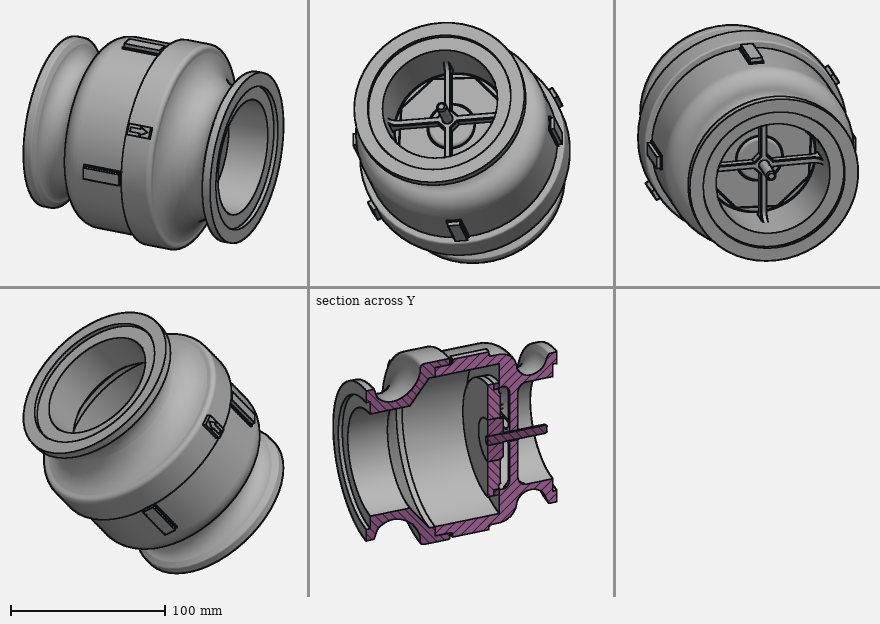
import cadquery as cq
import math

LENGTH = 133.9
MIDDLE = LENGTH / 2

FLANGE_RADIUS = 56.3
FLANGE_RIM = 4.9
FLANGE_ROUNDING_RUN = 1.0
FLANGE_ROUNDING_DROP = 0.5
FACE_RECESS_RADIUS = 47.4
FACE_RECESS_DEPTH = 2.9
BORE_RADIUS = 38.08

TAPER_END_AT = 7.6
TAPER_RADIUS = 52.4
NECK_AT = 18.5
NECK_RADIUS = 43.2
DOME_START_AT = 28.1
DOME_START_RADIUS = 51.6
DOME_END_AT = 41.0
BODY_RADIUS = 63.3
SEAT_AT = 40.5
CHAMBER_RADIUS = 56.0
HOUSING_END_AT = 85.5

COLLAR_AT = 75.1
COLLAR_END_AT = 96.0
COLLAR_RADIUS = 67.9
COLLAR_FRONT_FILLET = 1.2
COLLAR_BACK_FILLET = 3.0
CAP_ARC_START_RADIUS = 62.7
CAP_JOINT_AT = 110.8
CAP_JOINT_RADIUS = 45.1
CAP_SHOULDER_ARC = 21.7
CAP_NECK_ARC = 14.3
CAP_TAPER_END_AT = 125.7
CAP_TAPER_RADIUS = 49.3
CAP_CHAMBER_END_AT = 89.6
CAP_BORE_AT = 103.2

PAD_COUNT = 4
PAD_AT = 47.8
PAD_LENGTH = 25.4
PAD_WIDTH = 8.0
PAD_TOP_RADIUS = 66.7
PAD_SKIRT = 0.8

PLATE_COUNT = 2
PLATE_ANGLE = 30.0
PLATE_AT = 77.4
PLATE_LENGTH = 15.5
PLATE_WIDTH = 7.3
PLATE_TOP_RADIUS = 70.6
ARROW_DEPTH = 0.4
ARROW_LENGTH = 12.2
ARROW_HEAD_LENGTH = 5.4
ARROW_HEAD_WIDTH = 5.7
ARROW_SHAFT_WIDTH = 2.9

LEG_COUNT = 4
LEG_AT = 27.2
LEG_DEPTH = 6.0
LEG_WIDTH = 4.1
LEG_CHAMFER_WIDTH = 1.1
LEG_CHAMFER_DEPTH = 0.5
FOOT_START_RADIUS = 31.9
FOOT_FRONT_AT = 19.4
FOOT_BACK_AT = 36.7
GUIDE_ACROSS_FLATS = 12.1
GUIDE_CHAMFER = 0.5
GUIDE_HOLE_RADIUS = 3.46

DISC_RADIUS = 42.1
SPIGOT_RADIUS = 37.3
SEAL_THICKNESS = 4.1
DISC_PLATE_THICKNESS = 4.1
PLATEAU_SIDES = 8
PLATEAU_TURN = 25.5
PLATEAU_HEIGHT = 1.0
PLATEAU_TAPER = 45.0
DISC_FRONT_AT = SEAT_AT - PLATEAU_HEIGHT
DISC_PLATE_AT = SEAT_AT + SEAL_THICKNESS
DISC_BACK_AT = DISC_PLATE_AT + DISC_PLATE_THICKNESS
HUB_SEAT_RADIUS = 15.5
HUB_MOUTH_CHAMFER = 0.4
HUB_NOSE_RADIUS = 15.1
HUB_NOSE_HEIGHT = 2.2
HUB_ROUNDING = 2.0
STEM_RADIUS = 3.19
STEM_TIP_AT = 6.9
STEM_TIP_CHAMFER = 1.1


def tangent_radius(along, across):
    """Radius of an arc that starts parallel to the axis and covers the given run and rise."""
    return (along ** 2 + across ** 2) / (2 * across)


def revolve(profile):
    """Turn a closed (station, radius) profile around the valve axis."""
    return profile.close().revolve(360, (0, 0, 0), (1, 0, 0)).translate((-MIDDLE, 0, 0))


def cylinder(start_at, length, radius):
    """Solid cylinder on the valve axis."""
    return cq.Workplane("YZ", origin=(start_at - MIDDLE, 0, 0)).circle(radius).extrude(length)


def around(shape, index, count, first_angle=0.0):
    """Turn one copy of a feature to its place around the valve axis."""
    return shape.rotate((0, 0, 0), (1, 0, 0), first_angle + 360 * index / count)


def radial_block(start_at, length, width, inner, outer):
    """Block standing on the +Z side between two distances from the axis."""
    return (
        cq.Workplane("XY", origin=(start_at - MIDDLE + length / 2, 0, inner))
        .rect(length, width)
        .extrude(outer - inner)
    )


def pad():
    inner = CHAMBER_RADIUS + (BODY_RADIUS - CHAMBER_RADIUS) / 2
    block = radial_block(PAD_AT, PAD_LENGTH, PAD_WIDTH, inner, PAD_TOP_RADIUS)
    skirt = radial_block(
        PAD_AT - PAD_SKIRT,
        PAD_LENGTH + 2 * PAD_SKIRT,
        PAD_WIDTH + 2 * PAD_SKIRT,
        inner,
        BODY_RADIUS + PAD_SKIRT,
    )
    return block.union(skirt)


def spider_leg():
    """Leg on the +Z side, chamfered along its front edges, with a flared foot on the bore wall."""
    wall = BORE_RADIUS + 1.4
    front = LEG_AT - MIDDLE
    back = front + LEG_DEPTH
    foot_front = FOOT_FRONT_AT - MIDDLE
    foot_back = FOOT_BACK_AT - MIDDLE
    foot_height = BORE_RADIUS - FOOT_START_RADIUS
    front_radius = tangent_radius(foot_height, front - foot_front)
    back_radius = tangent_radius(foot_height, foot_back - back)
    outline = (
        cq.Workplane("XZ")
        .moveTo(front, 0)
        .lineTo(front, FOOT_START_RADIUS)
        .radiusArc((foot_front, BORE_RADIUS), -front_radius)
        .lineTo(foot_front, wall)
        .lineTo(foot_back, wall)
        .lineTo(foot_back, BORE_RADIUS)
        .radiusArc((back, FOOT_START_RADIUS), -back_radius)
        .lineTo(back, 0)
        .close()
    )
    leg = outline.extrude(LEG_WIDTH / 2, both=True)
    front_edges = cq.selectors.BoxSelector(
        (foot_front - 1.4, -LEG_WIDTH, 1.4), (front + 0.1, LEG_WIDTH, BORE_RADIUS - 0.1)
    )
    return leg.faces("<Y or >Y").edges(front_edges).chamfer(LEG_CHAMFER_DEPTH, LEG_CHAMFER_WIDTH)


def spider():
    guide = (
        cq.Workplane("YZ", origin=(LEG_AT - MIDDLE, 0, 0))
        .transformed(rotate=(0, 0, 45))
        .rect(GUIDE_ACROSS_FLATS, GUIDE_ACROSS_FLATS)
        .extrude(LEG_DEPTH)
        .faces("<X")
        .chamfer(GUIDE_CHAMFER)
    )
    leg = spider_leg()
    for index in range(LEG_COUNT):
        guide = guide.union(around(leg, index, LEG_COUNT))
    return guide.cut(cylinder(LEG_AT, LEG_DEPTH, GUIDE_HOLE_RADIUS))


def inlet_housing():
    rounding = tangent_radius(FLANGE_ROUNDING_RUN, FLANGE_ROUNDING_DROP)
    neck_in = tangent_radius(NECK_AT - TAPER_END_AT, TAPER_RADIUS - NECK_RADIUS)
    neck_out = tangent_radius(DOME_START_AT - NECK_AT, DOME_START_RADIUS - NECK_RADIUS)
    dome = tangent_radius(DOME_END_AT - DOME_START_AT, BODY_RADIUS - DOME_START_RADIUS)
    shell = revolve(
        cq.Workplane("XY")
        .moveTo(0, FACE_RECESS_RADIUS)
        .lineTo(0, FLANGE_RADIUS)
        .lineTo(FLANGE_RIM, FLANGE_RADIUS)
        .radiusArc((FLANGE_RIM + FLANGE_ROUNDING_RUN, FLANGE_RADIUS - FLANGE_ROUNDING_DROP), rounding)
        .lineTo(TAPER_END_AT, TAPER_RADIUS)
        .radiusArc((NECK_AT, NECK_RADIUS), -neck_in)
        .radiusArc((DOME_START_AT, DOME_START_RADIUS), -neck_out)
        .radiusArc((DOME_END_AT, BODY_RADIUS), dome)
        .lineTo(HOUSING_END_AT, BODY_RADIUS)
        .lineTo(HOUSING_END_AT, CHAMBER_RADIUS)
        .lineTo(SEAT_AT, CHAMBER_RADIUS)
        .lineTo(SEAT_AT, BORE_RADIUS)
        .lineTo(FACE_RECESS_DEPTH, BORE_RADIUS)
        .lineTo(FACE_RECESS_DEPTH, FACE_RECESS_RADIUS)
    )
    for index in range(PAD_COUNT):
        shell = shell.union(around(pad(), index, PAD_COUNT))
    return shell.union(spider())


def arrow_plate():
    """Raised plate on the +Z side with a sunk arrow pointing to the outlet."""
    plate = radial_block(PLATE_AT, PLATE_LENGTH, PLATE_WIDTH, BODY_RADIUS + 1.4, PLATE_TOP_RADIUS)
    tail = -ARROW_LENGTH / 2
    tip = ARROW_LENGTH / 2
    neck = tip - ARROW_HEAD_LENGTH
    arrow = (
        cq.Workplane("XY", origin=(PLATE_AT + PLATE_LENGTH / 2 - MIDDLE, 0, PLATE_TOP_RADIUS))
        .moveTo(tail, ARROW_SHAFT_WIDTH / 2)
        .lineTo(neck, ARROW_SHAFT_WIDTH / 2)
        .lineTo(neck, ARROW_HEAD_WIDTH / 2)
        .lineTo(tip, 0)
        .lineTo(neck, -ARROW_HEAD_WIDTH / 2)
        .lineTo(neck, -ARROW_SHAFT_WIDTH / 2)
        .lineTo(tail, -ARROW_SHAFT_WIDTH / 2)
        .close()
        .extrude(-ARROW_DEPTH)
    )
    return plate.cut(arrow)


def outlet_cap():
    rim_at = LENGTH - FLANGE_RIM
    rounding = tangent_radius(FLANGE_ROUNDING_RUN, FLANGE_ROUNDING_DROP)
    shell = revolve(
        cq.Workplane("XY")
        .moveTo(COLLAR_AT, BODY_RADIUS)
        .lineTo(COLLAR_AT, COLLAR_RADIUS - COLLAR_FRONT_FILLET)
        .radiusArc((COLLAR_AT + COLLAR_FRONT_FILLET, COLLAR_RADIUS), COLLAR_FRONT_FILLET)
        .lineTo(COLLAR_END_AT - COLLAR_BACK_FILLET, COLLAR_RADIUS)
        .radiusArc((COLLAR_END_AT, COLLAR_RADIUS - COLLAR_BACK_FILLET), COLLAR_BACK_FILLET)
        .lineTo(COLLAR_END_AT, CAP_ARC_START_RADIUS)
        .radiusArc((CAP_JOINT_AT, CAP_JOINT_RADIUS), -CAP_SHOULDER_ARC)
        .radiusArc((CAP_TAPER_END_AT, CAP_TAPER_RADIUS), -CAP_NECK_ARC)
        .lineTo(rim_at - FLANGE_ROUNDING_RUN, FLANGE_RADIUS - FLANGE_ROUNDING_DROP)
        .radiusArc((rim_at, FLANGE_RADIUS), rounding)
        .lineTo(LENGTH, FLANGE_RADIUS)
        .lineTo(LENGTH, FACE_RECESS_RADIUS)
        .lineTo(LENGTH - FACE_RECESS_DEPTH, FACE_RECESS_RADIUS)
        .lineTo(LENGTH - FACE_RECESS_DEPTH, BORE_RADIUS)
        .lineTo(CAP_BORE_AT, BORE_RADIUS)
        .lineTo(CAP_CHAMBER_END_AT, CHAMBER_RADIUS)
        .lineTo(HOUSING_END_AT, CHAMBER_RADIUS)
        .lineTo(HOUSING_END_AT, BODY_RADIUS)
    )
    plate = arrow_plate()
    for index in range(PLATE_COUNT):
        shell = shell.union(around(plate, index, PLATE_COUNT, 90 - PLATE_ANGLE))
    return shell


def seal_ring():
    ring = cylinder(SEAT_AT, SEAL_THICKNESS, DISC_RADIUS)
    return ring.cut(cylinder(SEAT_AT, SEAL_THICKNESS, SPIGOT_RADIUS))


def plateau():
    """Eight-sided raised front of the disc, with sloping sides."""
    return (
        cq.Workplane("YZ", origin=(SEAT_AT - MIDDLE, 0, 0))
        .transformed(rotate=(0, 0, PLATEAU_TURN))
        .polygon(PLATEAU_SIDES, 2 * SPIGOT_RADIUS)
        .extrude(-PLATEAU_HEIGHT, taper=PLATEAU_TAPER)
    )


def valve_disc():
    disc = cylinder(SEAT_AT, SEAL_THICKNESS, SPIGOT_RADIUS)
    disc = disc.union(cylinder(DISC_PLATE_AT, DISC_PLATE_THICKNESS, DISC_RADIUS))
    disc = disc.union(plateau())
    disc = disc.cut(cylinder(DISC_FRONT_AT, DISC_BACK_AT - DISC_FRONT_AT, HUB_SEAT_RADIUS))
    hole_edge = cq.selectors.RadiusNthSelector(0)
    return disc.faces("<X").edges(hole_edge).chamfer(HUB_MOUTH_CHAMFER)


def disc_hub():
    nose_at = DISC_FRONT_AT - HUB_NOSE_HEIGHT
    nose = cylinder(nose_at, DISC_BACK_AT - nose_at, HUB_NOSE_RADIUS)
    nose = nose.faces("<X").edges().fillet(HUB_ROUNDING)
    seat_at = DISC_FRONT_AT + HUB_MOUTH_CHAMFER
    hub = nose.union(cylinder(seat_at, DISC_BACK_AT - seat_at, HUB_SEAT_RADIUS))
    return hub.cut(cylinder(nose_at, DISC_BACK_AT - nose_at, STEM_RADIUS))


def stem():
    rod = cylinder(STEM_TIP_AT, DISC_BACK_AT - STEM_TIP_AT, STEM_RADIUS)
    return rod.faces("<X").chamfer(STEM_TIP_CHAMFER)


result = cq.Compound.makeCompound(
    [
        inlet_housing().val(),
        outlet_cap().val(),
        seal_ring().val(),
        valve_disc().val(),
        disc_hub().val(),
        stem().val(),
    ]
)